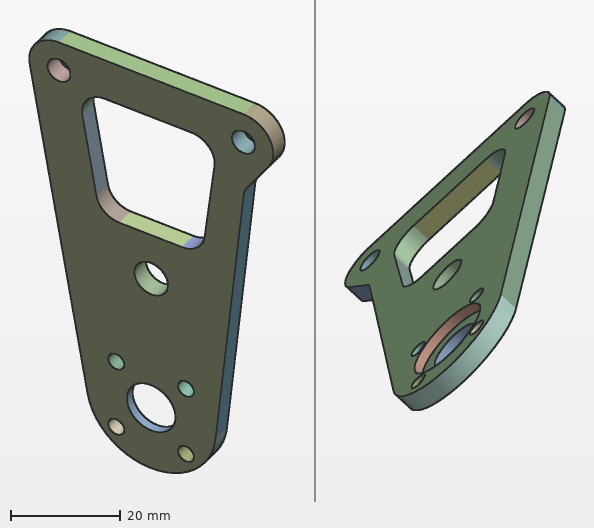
import cadquery as cq
import math

plate_height = 90.6
plate_width = 53.0
thickness = 4.0

bottom_radius = 14.0
ear_spacing = 40.0
ear_radius = (plate_width - ear_spacing) / 2
top_z = plate_height - bottom_radius
ear_x = ear_spacing / 2
ear_z = top_z - ear_radius
notch_corner = (20.2, 58.9)
notch_fillet = 3.0

ear_hole_diameter = 5.0
middle_hole_diameter = 7.25
middle_hole_z = 30.0
bore_diameter = 10.5
recess_diameter = 17.0
recess_depth = 2.0
screw_hole_diameter = 3.4
screw_spacing = 15.1

window_top_z = 67.6
window_bottom_z = 40.1
window_top_left_x = -15.9
window_top_right_x = 14.4
window_bottom_left_x = -11.1
window_bottom_right_x = 11.05
window_fillet = 5.0


def on_circle(center, radius, angle):
    """Point on a circle at an angle measured from +X."""
    return (center[0] + radius * math.cos(angle), center[1] + radius * math.sin(angle))


def tangent_angle(point, center, radius, side):
    """Angle of the tangent point seen from an outside point; side is +1 or -1."""
    dx = point[0] - center[0]
    dz = point[1] - center[1]
    return math.atan2(dz, dx) + side * math.acos(radius / math.hypot(dx, dz))


def make_plate():
    bottom_center = (0, 0)
    left_ear = (-ear_x, ear_z)
    right_ear = (ear_x, ear_z)

    center_distance = math.hypot(*left_ear)
    left_angle = math.atan2(ear_z, -ear_x) + math.acos((bottom_radius - ear_radius) / center_distance)
    right_angle = tangent_angle(notch_corner, bottom_center, bottom_radius, -1)
    slant_angle = tangent_angle(notch_corner, right_ear, ear_radius, 1)

    ear_top_angle = math.pi / 2
    left_mid_angle = (left_angle + ear_top_angle) / 2
    right_mid_angle = (slant_angle + ear_top_angle) / 2
    bottom_mid_angle = -math.pi / 2

    plate = (
        cq.Workplane("XZ")
        .moveTo(*on_circle(bottom_center, bottom_radius, right_angle))
        .lineTo(*notch_corner)
        .lineTo(*on_circle(right_ear, ear_radius, slant_angle))
        .threePointArc(on_circle(right_ear, ear_radius, right_mid_angle), (ear_x, top_z))
        .lineTo(-ear_x, top_z)
        .threePointArc(
            on_circle(left_ear, ear_radius, left_mid_angle),
            on_circle(left_ear, ear_radius, left_angle),
        )
        .lineTo(*on_circle(bottom_center, bottom_radius, left_angle))
        .threePointArc(
            on_circle(bottom_center, bottom_radius, bottom_mid_angle),
            on_circle(bottom_center, bottom_radius, right_angle),
        )
        .close()
        .extrude(thickness)
    )
    notch_edge_middle = (notch_corner[0], -thickness / 2, notch_corner[1])
    return plate.edges(cq.NearestToPointSelector(notch_edge_middle)).fillet(notch_fillet)


def make_window():
    corners = [
        (window_top_left_x, window_top_z),
        (window_top_right_x, window_top_z),
        (window_bottom_right_x, window_bottom_z),
        (window_bottom_left_x, window_bottom_z),
    ]
    window = cq.Workplane("XZ").polyline(corners).close().extrude(thickness)
    return window.edges("|Y").fillet(window_fillet)


def make_holes(centers, diameter):
    return cq.Workplane("XZ").pushPoints(centers).circle(diameter / 2).extrude(thickness)


def make_back_recess():
    """Round recess around the large bore, sunk into the +Y face."""
    return cq.Workplane("XZ").circle(recess_diameter / 2).extrude(recess_depth)


screw_offset = screw_spacing / 2
screw_centers = [(x, z) for x in (-screw_offset, screw_offset) for z in (-screw_offset, screw_offset)]

result = (
    make_plate()
    .cut(make_window())
    .cut(make_holes([(-ear_x, ear_z), (ear_x, ear_z)], ear_hole_diameter))
    .cut(make_holes([(0, middle_hole_z)], middle_hole_diameter))
    .cut(make_holes([(0, 0)], bore_diameter))
    .cut(make_back_recess())
    .cut(make_holes(screw_centers, screw_hole_diameter))
)